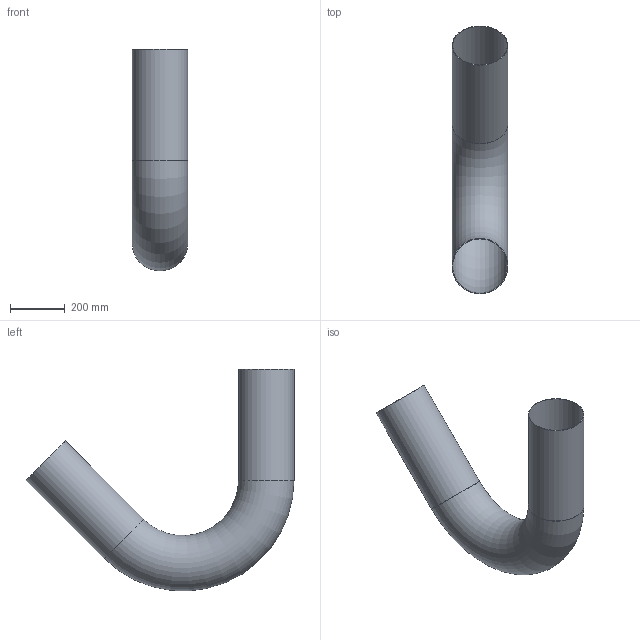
import cadquery as cq
import math

outer_diameter = 203.2
inner_diameter = 200.0
bend_radius = 1.5 * outer_diameter
leg_length = 2 * outer_diameter
bend_angle = 135.0

leg_slope = math.radians(bend_angle - 90)
half_bend = math.radians(bend_angle / 2)


def bend_point(angle):
    """Centreline point (y, z) after turning through the given angle from the upright leg."""
    return (bend_radius * (1 - math.cos(angle)), -bend_radius * math.sin(angle))


def pipe_centreline():
    """Upright leg, circular bend and tilted leg, from the top of the upright leg."""
    bend_end = bend_point(math.radians(bend_angle))
    tilted_leg_end = (
        bend_end[0] + leg_length * math.cos(leg_slope),
        bend_end[1] + leg_length * math.sin(leg_slope),
    )
    return (
        cq.Workplane("YZ")
        .moveTo(0, leg_length)
        .lineTo(0, 0)
        .threePointArc(bend_point(half_bend), bend_end)
        .lineTo(*tilted_leg_end)
    )


def pipe_wall():
    """Ring section swept along the centreline, open at both ends."""
    ring = (
        cq.Workplane("XY", origin=(0, 0, leg_length))
        .circle(outer_diameter / 2)
        .circle(inner_diameter / 2)
    )
    return ring.sweep(pipe_centreline())


result = pipe_wall()